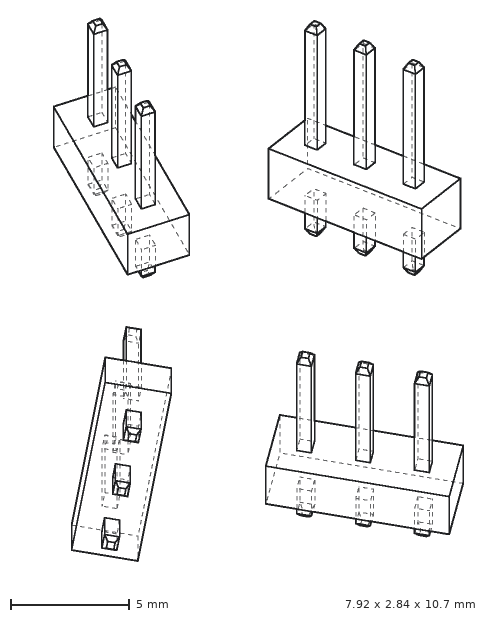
import cadquery as cq

housing_length = 7.92
housing_depth = 2.84
housing_height = 2.55

pin_count = 3
pin_pitch = 2.55
pin_width = 0.64
tip_width = pin_width / 2
tip_height = 0.3

total_height = 10.65
lower_pin_length = 1.99
upper_pin_length = total_height - housing_height - lower_pin_length


def make_housing():
    """Plain block with its bottom face at Z = 0."""
    return cq.Workplane("XY").box(
        housing_length, housing_depth, housing_height, centered=(True, True, False)
    )


def make_pin(length):
    """Square pin rising from Z = 0, with a tapered tip at its free end."""
    shank_length = length - tip_height
    shank = cq.Workplane("XY").rect(pin_width, pin_width).extrude(shank_length)
    tip = (
        cq.Workplane("XY", origin=(0, 0, shank_length))
        .rect(pin_width, pin_width)
        .workplane(offset=tip_height)
        .rect(tip_width, tip_width)
        .loft(ruled=True)
    )
    return shank.union(tip)


def make_upper_pin(x):
    """Long pin standing on the top face of the housing."""
    return make_pin(upper_pin_length).translate((x, 0, housing_height))


def make_lower_pin(x):
    """Short pin hanging from the bottom face of the housing."""
    return make_pin(lower_pin_length).mirror("XY").translate((x, 0, 0))


housing = make_housing()

upper_pins = []
lower_pins = []
for index in range(pin_count):
    pin_x = (index - (pin_count - 1) / 2) * pin_pitch
    upper_pins.append(make_upper_pin(pin_x).solids().val())
    lower_pins.append(make_lower_pin(pin_x).solids().val())

result = cq.Compound.makeCompound([housing.val(), *upper_pins, *lower_pins])